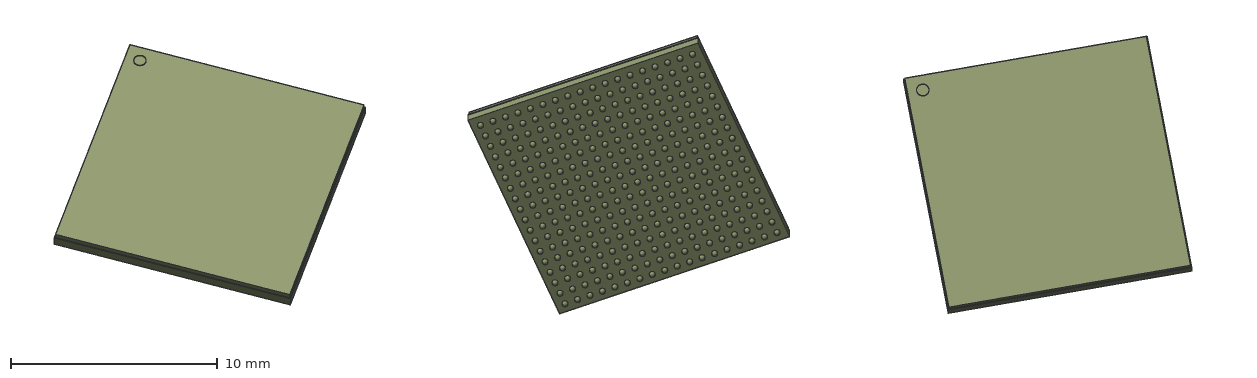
import cadquery as cq


body_side = 12.0
total_height = 0.97

substrate_thickness = 0.515
cap_thickness = 0.255
cap_inset = 0.05
cap_side = body_side - 2 * cap_inset
standoff = total_height - substrate_thickness - cap_thickness
substrate_top = standoff + substrate_thickness

ball_count = 18
ball_pitch = 0.65
ball_diameter = 0.3
ball_radius = ball_diameter / 2

mark_diameter = 0.6
mark_depth = 0.04
mark_edge_distance = 0.8
mark_offset = body_side / 2 - mark_edge_distance


def square_plate(side, thickness, bottom):
    """Square plate centred on the Z axis, with its underside at the given height."""
    return cq.Workplane("XY").workplane(offset=bottom).rect(side, side).extrude(thickness)


def solder_balls():
    """Full square grid of balls, each sunk into the underside of the substrate."""
    ball = cq.Solid.makeSphere(ball_radius, angleDegrees1=-90, angleDegrees2=90)
    return (
        cq.Workplane("XY")
        .workplane(offset=ball_radius)
        .rarray(ball_pitch, ball_pitch, ball_count, ball_count)
        .eachpoint(lambda place: ball.moved(place), combine=False)
        .vals()
    )


def pin_one_mark():
    """Shallow round recess in the cap at the -X, +Y corner."""
    return (
        cq.Workplane("XY")
        .workplane(offset=total_height - mark_depth)
        .center(-mark_offset, mark_offset)
        .circle(mark_diameter / 2)
        .extrude(mark_depth)
    )


substrate = square_plate(body_side, substrate_thickness, standoff)
cap = square_plate(cap_side, cap_thickness, substrate_top)
package = substrate.union(cap).cut(pin_one_mark())

result = cq.Workplane("XY").newObject([package.val().fuse(*solder_balls())]).solids()